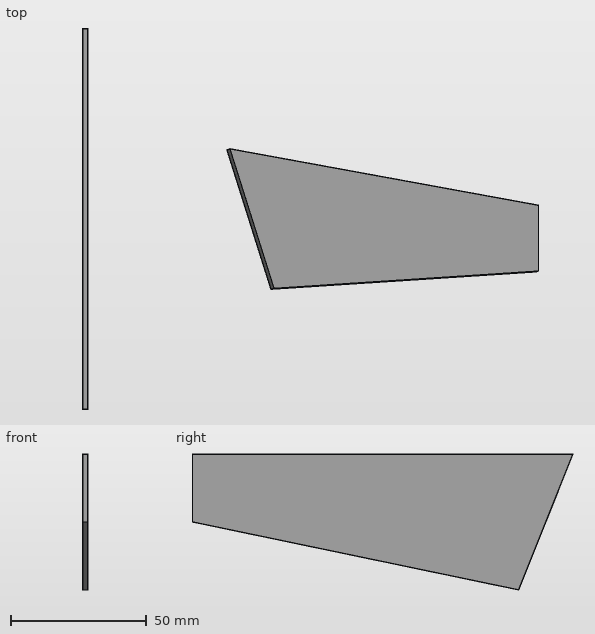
import cadquery as cq

thickness = 2.0
length = 140.0
wide_height = 50.0
narrow_height = 25.0
end_setback = 20.0

outline = [
    (0, wide_height - narrow_height),
    (length - end_setback, 0),
    (length, wide_height),
    (0, wide_height),
]

result = cq.Workplane("YZ").polyline(outline).close().extrude(thickness)